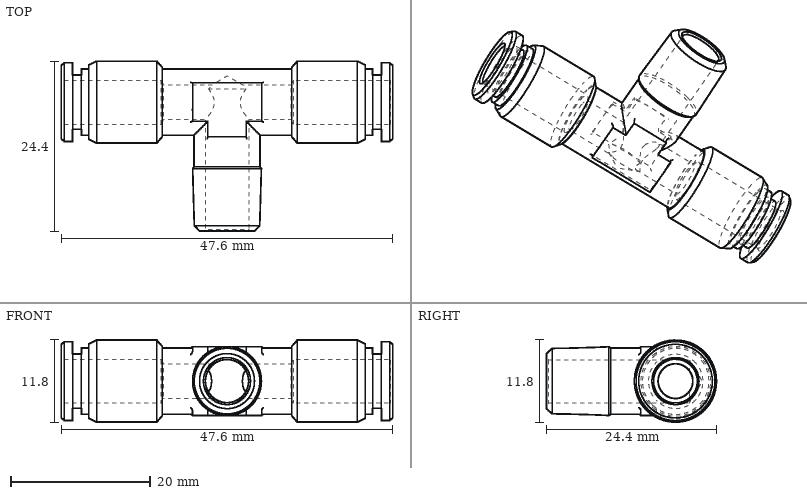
import cadquery as cq
import math

run_length = 47.6
run_end = run_length / 2
run_radius = 4.75

ring_radius = 5.65
ring_face_radius = 5.3
ring_chamfer_length = 0.48
ring_thickness = 1.65
neck_radius = 3.9

collar_start = 2.9
collar_radius = 4.75
body_start = 3.95
body_radius = 5.9
body_front_radius = 5.35
body_full_start = 5.1
body_full_end = 13.7
body_end = 14.5
body_back_radius = 5.0

socket_radius = 3.15
socket_depth = 14.3
socket_mouth_radius = 3.4
socket_mouth_depth = 0.4
passage_radius = 2.48

drill_point_angle = 118.0

branch_end = 18.5
stem_radius = 4.75
thread_start = 9.55
thread_lead_in = 0.3
thread_large_radius = 4.95
thread_taper_end = 17.7
thread_small_radius = 4.7
tip_radius = 3.95

branch_bore_radius = 3.1
branch_mouth_radius = 3.4
branch_mouth_depth = 0.3
drill_apex_y = 3.8

pad_half_width = 2.75
pad_reach = 4.95
pad_height = 4.95
pad_fillet = 0.35


def revolve_x(profile):
    """Turn (distance from run end, radius) points about X, at the -X end."""
    points = [(distance - run_end, radius) for distance, radius in profile]
    return cq.Workplane("XY").polyline(points).close().revolve(360, (0, 0), (1, 0))


def revolve_branch(profile):
    """Turn (distance towards -Y, radius) points about Y."""
    points = [(radius, -distance) for distance, radius in profile]
    return cq.Workplane("XY").polyline(points).close().revolve(360, (0, 0), (0, 1))


def both_ends(solid):
    """Join a solid at the -X end to its mirror image at the +X end."""
    return solid.union(solid.mirror("YZ"))


def port_outside():
    return revolve_x([
        (0, 0),
        (0, ring_face_radius),
        (ring_chamfer_length, ring_radius),
        (ring_thickness, ring_radius),
        (ring_thickness, neck_radius),
        (collar_start, neck_radius),
        (collar_start, collar_radius),
        (body_start, collar_radius),
        (body_start, body_front_radius),
        (body_full_start, body_radius),
        (body_full_end, body_radius),
        (body_end, body_back_radius),
        (body_end, run_radius),
        (run_end, run_radius),
        (run_end, 0),
    ])


def drill_cone_length(large_radius, small_radius):
    half_angle = math.radians(drill_point_angle / 2)
    return (large_radius - small_radius) / math.tan(half_angle)


def port_bore():
    socket_cone_end = socket_depth + drill_cone_length(socket_radius, passage_radius)
    return revolve_x([
        (0, 0),
        (0, socket_mouth_radius),
        (socket_mouth_depth, socket_radius),
        (socket_depth, socket_radius),
        (socket_cone_end, passage_radius),
        (run_end, passage_radius),
        (run_end, 0),
    ])


def branch_outside():
    return revolve_branch([
        (0, 0),
        (0, stem_radius),
        (thread_start - thread_lead_in, stem_radius),
        (thread_start, thread_large_radius),
        (thread_taper_end, thread_small_radius),
        (branch_end, tip_radius),
        (branch_end, 0),
    ])


def branch_bore():
    point_length = drill_cone_length(branch_bore_radius, 0)
    return revolve_branch([
        (-drill_apex_y, 0),
        (point_length - drill_apex_y, branch_bore_radius),
        (branch_end - branch_mouth_depth, branch_bore_radius),
        (branch_end, branch_mouth_radius),
        (branch_end, 0),
    ])


def pads():
    arms = cq.Workplane("XY").box(2 * pad_reach, 2 * pad_half_width, 2 * pad_height)
    leg = cq.Workplane("XY").box(
        2 * pad_half_width, pad_reach, 2 * pad_height
    ).translate((0, -pad_reach / 2, 0))
    return arms.union(leg)


def pad_base_edges(body, side):
    """Edges where the pad walls meet the tubes; side is 1 for the top pad, -1 for the bottom."""
    reach = pad_reach + pad_fillet
    low_corner = (-reach, -reach, side * run_radius / 2)
    high_corner = (reach, reach, side * (pad_height + run_radius) / 2)
    return body.edges(cq.selectors.BoxSelector(low_corner, high_corner)).edges("not |Z")


outside = both_ends(port_outside()).union(branch_outside()).union(pads())
for pad_side in (1, -1):
    outside = pad_base_edges(outside, pad_side).fillet(pad_fillet)

result = outside.cut(both_ends(port_bore())).cut(branch_bore())